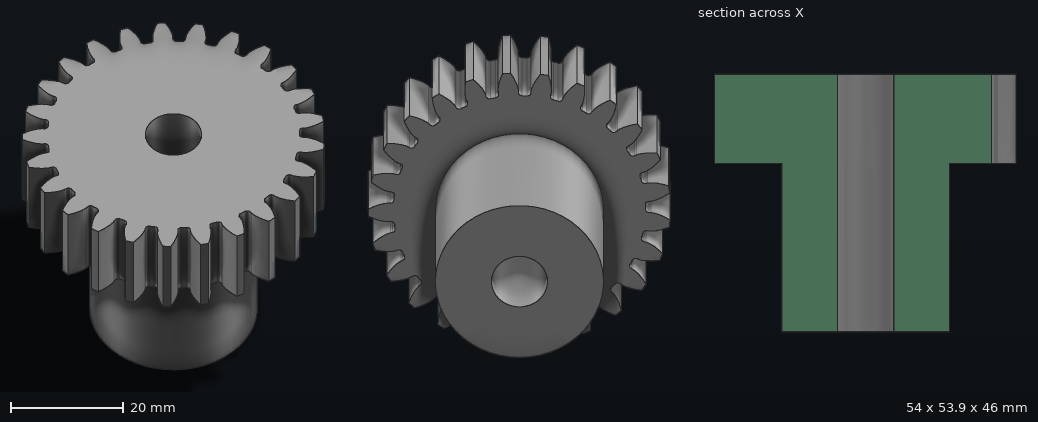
import cadquery as cq
import math

overall_width = 53.95
gear_thickness = 15.95
hub_length = 30.0
hub_diameter = 30.0
bore_diameter = 10.0

tooth_count = 25
pressure_angle = math.radians(20)
addendum_factor = 1.0
dedendum_factor = 1.25
root_fillet = 0.65
flank_points = 6

pitch_step = 2 * math.pi / tooth_count
first_tooth_angle = -math.pi / 2


def involute(angle):
    """Involute function of a pressure angle, in radians."""
    return math.tan(angle) - angle


base_half_angle = pitch_step / 4 + involute(pressure_angle)
tip_pressure_angle = math.acos(
    math.cos(pressure_angle) * tooth_count / (tooth_count + 2 * addendum_factor)
)
tip_half_angle = base_half_angle - involute(tip_pressure_angle)

tip_radius = overall_width / 2 / math.cos(pitch_step / 4 - tip_half_angle)
module = 2 * tip_radius / (tooth_count + 2 * addendum_factor)
pitch_radius = module * tooth_count / 2
base_radius = pitch_radius * math.cos(pressure_angle)
root_radius = pitch_radius - dedendum_factor * module

fillet_centre_radius = root_radius + root_fillet
fillet_angle = math.asin(root_fillet / fillet_centre_radius)
fillet_flank_radius = fillet_centre_radius * math.cos(fillet_angle)
root_half_angle = base_half_angle + fillet_angle


def polar(radius, angle):
    return (radius * math.cos(angle), radius * math.sin(angle))


def flank(tooth_angle, side):
    """Involute points from base circle to tip; side is -1 or +1 around the tooth centre."""
    points = []
    for i in range(flank_points):
        local_pressure = tip_pressure_angle * i / (flank_points - 1)
        radius = base_radius / math.cos(local_pressure)
        half_angle = base_half_angle - involute(local_pressure)
        points.append(polar(radius, tooth_angle + side * half_angle))
    return points


def fillet_middle(tooth_angle, side):
    """Point halfway along a root fillet."""
    flank_angle = tooth_angle + side * base_half_angle
    centre_angle = tooth_angle + side * root_half_angle
    centre_x, centre_y = polar(fillet_centre_radius, centre_angle)
    toward_root = centre_angle + math.pi
    toward_flank = flank_angle - side * math.pi / 2
    turn = math.remainder(toward_flank - toward_root, 2 * math.pi)
    offset_x, offset_y = polar(root_fillet, toward_root + turn / 2)
    return (centre_x + offset_x, centre_y + offset_y)


def add_tooth(outline, angle):
    """Continue the outline over one tooth and along the root to the next tooth."""
    rising = flank(angle, -1)
    falling = flank(angle, 1)[::-1]
    return (
        outline
        .threePointArc(fillet_middle(angle, -1), polar(fillet_flank_radius, angle - base_half_angle))
        .lineTo(*rising[0])
        .spline(rising[1:], includeCurrent=True)
        .threePointArc(polar(tip_radius, angle), falling[0])
        .spline(falling[1:], includeCurrent=True)
        .lineTo(*polar(fillet_flank_radius, angle + base_half_angle))
        .threePointArc(fillet_middle(angle, 1), polar(root_radius, angle + root_half_angle))
        .threePointArc(
            polar(root_radius, angle + pitch_step / 2),
            polar(root_radius, angle + pitch_step - root_half_angle),
        )
    )


def toothed_rim():
    outline = cq.Workplane("XY").workplane(offset=hub_length)
    outline = outline.moveTo(*polar(root_radius, first_tooth_angle - root_half_angle))
    for i in range(tooth_count):
        outline = add_tooth(outline, first_tooth_angle + i * pitch_step)
    return outline.close().extrude(gear_thickness)


def hub():
    return cq.Workplane("XY").circle(hub_diameter / 2).extrude(hub_length)


def bore():
    return cq.Workplane("XY").circle(bore_diameter / 2).extrude(hub_length + gear_thickness)


result = toothed_rim().union(hub()).cut(bore())